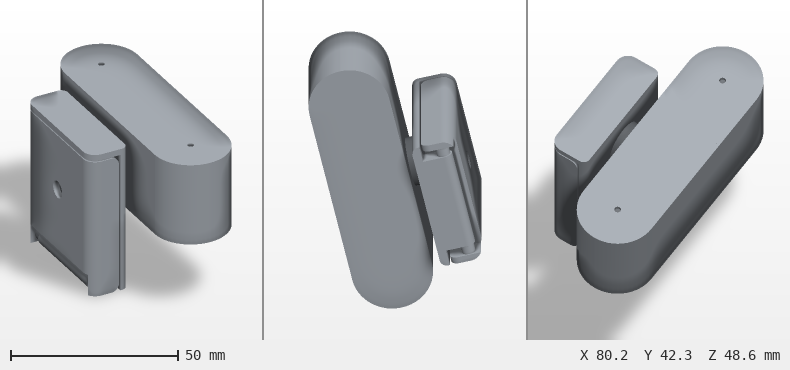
import cadquery as cq
import math


housing_width = 80.2
housing_depth = 24.45
housing_height = 27.25
housing_corner_radius = 12.2
rim_width = 1.0
plate_thickness = 1.0
mic_hole_diameter = 2.0
mic_spacing = housing_width - housing_depth

lens_ring_diameter = 15.0
lens_diameter = 13.3
lens_mark_diameter = 0.1
lens_mark_depth = 0.1

joint_diameter = 14.7
collar_length = 2.4
joint_z = -housing_height / 2

mount_width = 39.9
mount_height = 48.6
total_depth = 42.3
clearance = 0.5
upright_thickness = 2.65
lid_thickness = 2.0
clip_depth = 10.0
inner_corner_radius = 2.2
outer_corner_radius = 4.0
clip_edge_radius = 2.6

mount_depth = upright_thickness + clearance + clip_depth
mount_outer_y = housing_depth / 2 - total_depth
upright_front_y = mount_outer_y + mount_depth
upright_back_y = upright_front_y - upright_thickness
clip_inner_y = mount_outer_y + clip_depth
clip_top_z = -lid_thickness - clearance
ball_length = -housing_depth / 2 - collar_length - upright_front_y

knuckle_diameter = 5.1
knuckle_length = 30.15
hinge_pin_diameter = 4.0
hinge_slot_width = 35.9
hinge_slot_height = 7.05
hinge_inset = 4.2
hinge_y = mount_outer_y + hinge_inset
hinge_z = -mount_height + knuckle_diameter / 2
pin_engagement = 1.0

nut_diameter = 8.0
nut_length = 4.0
nut_bore_diameter = 5.1
nut_mouth_diameter = 5.6
nut_bore_depth = 2.0
nut_z = -21.0


def upright_disc(diameter, depth):
    """Disc with its top face at Z = 0, on the lens axis."""
    return cq.Workplane("XY").circle(diameter / 2).extrude(-depth)


def y_cylinder(diameter, start_y, length, z):
    """Cylinder on X = 0 that runs from start_y towards -Y."""
    return cq.Workplane("XZ", origin=(0, start_y, z)).circle(diameter / 2).extrude(length)


def x_cylinder(diameter, length):
    """Cylinder along the hinge axis, centred on X = 0."""
    profile = cq.Workplane("YZ", origin=(0, hinge_y, hinge_z)).circle(diameter / 2)
    return profile.extrude(length / 2, both=True)


def box_between(width, y_low, y_high, z_low, z_high):
    """Box centred on X = 0 between the given Y and Z limits."""
    box = cq.Workplane("XY").box(width, y_high - y_low, z_high - z_low)
    return box.translate((0, (y_low + y_high) / 2, (z_low + z_high) / 2))


def rounded_slab(length, width, corner_radius, height):
    """Slab with nearly semicircular ends and its top face at Z = 0."""
    return cq.Workplane("XY").rect(length, width).extrude(-height).edges("|Z").fillet(corner_radius)


def make_plate_blank():
    """Stadium-shaped plate before the lens and microphone openings are cut."""
    length = housing_width - 2 * rim_width
    width = housing_depth - 2 * rim_width
    return rounded_slab(length, width, housing_corner_radius - rim_width, plate_thickness)


def make_housing():
    body = rounded_slab(housing_width, housing_depth, housing_corner_radius, housing_height)
    return body.cut(make_plate_blank())


def make_face_plate():
    plate = make_plate_blank().cut(upright_disc(lens_ring_diameter, plate_thickness))
    mic_holes = (
        cq.Workplane("XY")
        .rarray(mic_spacing, 0.8, 2, 1)
        .circle(mic_hole_diameter / 2)
        .extrude(-plate_thickness)
    )
    return plate.cut(mic_holes)


def make_lens_blank():
    return upright_disc(lens_diameter, plate_thickness)


def make_lens_ring():
    return upright_disc(lens_ring_diameter, plate_thickness).cut(make_lens_blank())


def make_lens():
    """Lens disc with a tiny dimple at its centre."""
    return make_lens_blank().cut(upright_disc(lens_mark_diameter, lens_mark_depth))


def make_collar():
    return y_cylinder(joint_diameter, -housing_depth / 2, collar_length, joint_z)


def make_ball():
    """Part of a sphere centred on the bracket face, cut off flat where it meets the collar."""
    radius = joint_diameter / 2
    neck_radius = math.sqrt(radius**2 - ball_length**2)
    half_length = ball_length / 2
    middle_radius = math.sqrt(radius**2 - half_length**2)
    profile = (
        cq.Workplane("XY", origin=(0, upright_front_y, joint_z))
        .lineTo(radius, 0)
        .threePointArc((middle_radius, half_length), (neck_radius, ball_length))
        .lineTo(0, ball_length)
        .close()
    )
    return profile.revolve(360, (0, 0, 0), (0, 1, 0))


def make_mount_block():
    """Envelope shared by the bracket and the clip, with its vertical edges rounded."""
    block = box_between(mount_width, mount_outer_y, upright_front_y, -mount_height, 0)
    block = block.edges("|Z and >Y").fillet(inner_corner_radius)
    return block.edges("|Z and <Y").fillet(outer_corner_radius)


def make_hinge_pin():
    """Both stub pins as one bar through the knuckle, which also shapes their sockets."""
    return x_cylinder(hinge_pin_diameter, hinge_slot_width + 2 * pin_engagement)


def make_bracket():
    """Upright and lid, with a hinge knuckle and its two stub pins at the foot."""
    under_lid = box_between(mount_width, mount_outer_y, upright_back_y, -mount_height, -lid_thickness)
    knuckle_top = -mount_height + knuckle_diameter
    arm = box_between(knuckle_length, hinge_y, upright_back_y, -mount_height, knuckle_top)
    bracket = make_mount_block().cut(under_lid)
    return bracket.union(arm).union(x_cylinder(knuckle_diameter, knuckle_length)).union(make_hinge_pin())


def make_nut_blank():
    return y_cylinder(nut_diameter, mount_outer_y + nut_length, nut_length, nut_z)


def make_clip():
    """Folding block with a slot for the knuckle, sockets for the pins and a seat for the nut."""
    envelope = box_between(mount_width, mount_outer_y, clip_inner_y, -mount_height, clip_top_z)
    envelope = envelope.edges("|X and >Y").fillet(clip_edge_radius)
    slot_top = -mount_height + hinge_slot_height
    slot = box_between(hinge_slot_width, mount_outer_y, clip_inner_y, -mount_height, slot_top)
    clip = make_mount_block().intersect(envelope)
    return clip.cut(slot).cut(make_hinge_pin()).cut(make_nut_blank())


def make_nut():
    """Tripod nut with a blind bore whose mouth is slightly chamfered."""
    bore = y_cylinder(nut_bore_diameter, mount_outer_y + nut_bore_depth, nut_bore_depth, nut_z)
    bore_radius = nut_bore_diameter / 2
    mouth_radius = nut_mouth_diameter / 2
    mouth = cq.Solid.makeCone(
        mouth_radius,
        bore_radius,
        mouth_radius - bore_radius,
        pnt=cq.Vector(0, mount_outer_y, nut_z),
        dir=cq.Vector(0, 1, 0),
    )
    return make_nut_blank().cut(bore).cut(cq.Workplane(mouth))


housing = make_housing()
face_plate = make_face_plate()
lens_ring = make_lens_ring()
lens = make_lens()
collar = make_collar()
ball = make_ball()
bracket = make_bracket()
clip = make_clip()
nut = make_nut()

result = cq.Compound.makeCompound([
    housing.val(),
    face_plate.val(),
    lens_ring.val(),
    lens.val(),
    collar.val(),
    ball.val(),
    bracket.val(),
    clip.val(),
    nut.val(),
])